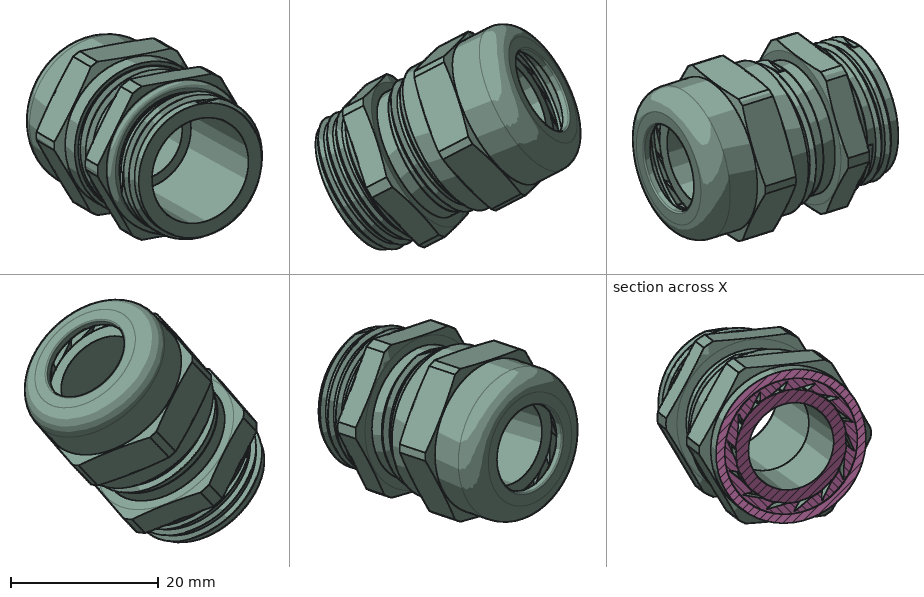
import cadquery as cq
import math


total_length = 31.01
lip_back = 1.06
claw_front = 3.79
dome_cone_end = 4.0
dome_hex_start = 7.3
dome_hex_end = 12.88
body_front = 9.0
seal_back = 15.0
dome_back = 15.55
neck_start = 18.93
body_hex_start = 20.78
body_hex_end = 24.5
gasket_back = 25.5
relief_end = 26.0

across_flats = 22.0
dome_hex_corner_diameter = 24.75
body_hex_corner_diameter = 24.54
hex_chamfer_length = 0.32

dome_diameter = 21.7
dome_face_diameter = 15.94
lip_mouth_diameter = 12.74
lip_bore_diameter = 12.31
cavity_front_diameter = 16.94
cavity_diameter = 19.04
dome_bore_diameter = 20.6

seal_bore_diameter = 12.2
seal_diameter = 15.94
claw_face_diameter = 18.5
claw_rim_height = 0.5
claw_finger_count = 14
claw_notch_depth = 3.0
claw_notch_angle = -87.0
claw_notch_root_radius = 7.95
claw_notch_shoulder_radius = 8.0
claw_notch_shoulder_turn = 14.0
claw_notch_tip_radius = 9.25
claw_notch_tip_turn = 19.7
gasket_diameter = 21.8
gasket_fillet = 0.8

body_bore_diameter = 14.94
gland_root_diameter = 18.75
neck_diameter = 18.95
entry_root_diameter = 19.04

pitch = 1.5
thread_crest_diameter = 20.25
thread_base_width = 1.0
thread_embed = 0.05
runout_height = 9.6
gland_thread_start = 14.66
gland_thread_start_angle = 270.0
gland_thread_turns = 2.5
entry_thread_start = 26.34
entry_thread_start_angle = 180.0
entry_thread_turns = 2.75


def revolve_profile(points):
    """Revolve a closed (x, radius) outline about the X axis."""
    return cq.Workplane("XY").polyline(points).close().revolve(360, (0, 0, 0), (1, 0, 0))


def cylinder(start, end, diameter):
    """Round bar along X between two stations."""
    return cq.Workplane("YZ", origin=(start, 0, 0)).circle(diameter / 2).extrude(end - start)


def chamfered_hexagon(start, end, corner_diameter, chamfer_back):
    """Hexagon with flats at top and bottom, rounded corners and a chamfered front, optionally also back."""
    length = end - start
    hexagon = (
        cq.Workplane("YZ", origin=(start, 0, 0))
        .polygon(6, across_flats / math.cos(math.pi / 6))
        .extrude(length)
    )
    corner_radius = corner_diameter / 2
    chamfer_radius = dome_diameter / 2
    envelope = [
        (start, 0),
        (start, chamfer_radius),
        (start + hex_chamfer_length, corner_radius),
    ]
    if chamfer_back:
        envelope += [(end - hex_chamfer_length, corner_radius), (end, chamfer_radius)]
    else:
        envelope.append((end, corner_radius))
    envelope.append((end, 0))
    return hexagon.intersect(revolve_profile(envelope))


def thread_ridge(start, start_angle, turns, root_diameter):
    """Helical V ridge; the angle is counted from +Y towards +Z."""
    inner_radius = root_diameter / 2 - thread_embed
    crest_radius = thread_crest_diameter / 2
    flank_slope = thread_base_width / 2 / (crest_radius - root_diameter / 2)
    half_width = flank_slope * (crest_radius - inner_radius)
    helix = cq.Wire.makeHelix(pitch, pitch * turns, inner_radius)
    ridge = (
        cq.Workplane("XZ")
        .polyline([(inner_radius, -half_width), (crest_radius, 0), (inner_radius, half_width)])
        .close()
        .sweep(cq.Workplane(obj=helix), isFrenet=True)
    )
    ridge = ridge.rotate((0, 0, 0), (1, 1, 1), 120)
    return ridge.rotate((0, 0, 0), (1, 0, 0), start_angle).translate((start, 0, 0))


def runout_cutter(x_center, angle, is_start):
    """Block that levels the first or last stretch of a thread, up to its end at the given angle."""
    reach = thread_crest_diameter / 2
    length = reach / 2
    height = reach - runout_height + thread_embed
    block = cq.Workplane("XY").box(pitch, length, height, centered=(True, False, False))
    y_start = -length if is_start else 0
    block = block.translate((x_center, y_start, runout_height))
    return block.rotate((0, 0, 0), (1, 0, 0), angle - 90)


def make_dome_nut():
    face_radius = dome_face_diameter / 2
    outer_radius = dome_diameter / 2
    corner_radius = outer_radius - face_radius
    mouth_radius = (lip_mouth_diameter - lip_bore_diameter) / 2
    diagonal = math.sqrt(0.5)
    shell = (
        cq.Workplane("XY")
        .moveTo(0, lip_mouth_diameter / 2)
        .lineTo(0, face_radius)
        .threePointArc(
            (corner_radius * (1 - diagonal), face_radius + corner_radius * diagonal),
            (corner_radius, outer_radius),
        )
        .lineTo(dome_back, outer_radius)
        .lineTo(dome_back, dome_bore_diameter / 2)
        .lineTo(body_front, dome_bore_diameter / 2)
        .lineTo(body_front, cavity_diameter / 2)
        .lineTo(dome_cone_end, cavity_diameter / 2)
        .lineTo(lip_back, cavity_front_diameter / 2)
        .lineTo(lip_back, lip_bore_diameter / 2)
        .lineTo(mouth_radius, lip_bore_diameter / 2)
        .threePointArc(
            (mouth_radius * (1 - diagonal), lip_mouth_diameter / 2 - mouth_radius * diagonal),
            (0, lip_mouth_diameter / 2),
        )
        .close()
        .revolve(360, (0, 0, 0), (1, 0, 0))
    )
    hexagon = chamfered_hexagon(dome_hex_start, dome_hex_end, dome_hex_corner_diameter, True)
    hexagon = hexagon.cut(cylinder(dome_hex_start, dome_hex_end, dome_bore_diameter))
    return shell.union(hexagon)


def polar_point(radius, angle):
    """Point in the YZ plane, the angle in degrees from +Y towards +Z."""
    return radius * math.cos(math.radians(angle)), radius * math.sin(math.radians(angle))


def make_claw():
    """Ring around the seal whose front is split into fingers by slanted notches."""
    rim_x = claw_front - claw_rim_height
    cone_slope = (cavity_diameter - cavity_front_diameter) / 2 / (dome_cone_end - lip_back)
    rim_radius = cavity_front_diameter / 2 + cone_slope * (rim_x - lip_back)
    claw = revolve_profile([
        (claw_front, seal_diameter / 2),
        (claw_front, claw_face_diameter / 2),
        (rim_x, rim_radius),
        (dome_cone_end, cavity_diameter / 2),
        (body_front, cavity_diameter / 2),
        (body_front, seal_diameter / 2),
    ])
    for finger in range(claw_finger_count):
        angle = claw_notch_angle + finger * 360 / claw_finger_count
        notch = (
            cq.Workplane("YZ", origin=(rim_x, 0, 0))
            .polyline([
                polar_point(claw_notch_root_radius, angle),
                polar_point(claw_notch_shoulder_radius, angle + claw_notch_shoulder_turn),
                polar_point(claw_notch_tip_radius, angle + claw_notch_tip_turn),
            ])
            .close()
            .extrude(claw_rim_height + claw_notch_depth)
        )
        claw = claw.cut(notch)
    return claw


def make_seal():
    bar = cylinder(claw_front, seal_back, seal_diameter)
    return bar.cut(cylinder(claw_front, seal_back, seal_bore_diameter))


def make_body():
    body = cylinder(body_front, neck_start, gland_root_diameter)
    body = body.union(cylinder(neck_start, relief_end, neck_diameter))
    body = body.union(cylinder(relief_end, total_length, entry_root_diameter))
    hexagon = chamfered_hexagon(body_hex_start, body_hex_end, body_hex_corner_diameter, False)
    body = body.union(hexagon)

    gland_thread = thread_ridge(
        gland_thread_start, gland_thread_start_angle, gland_thread_turns, gland_root_diameter
    )
    gland_thread_end = gland_thread_start + pitch * gland_thread_turns
    gland_thread_end_angle = gland_thread_start_angle + 360 * gland_thread_turns
    gland_thread = gland_thread.cut(runout_cutter(gland_thread_end, gland_thread_end_angle, False))

    entry_thread = thread_ridge(
        entry_thread_start, entry_thread_start_angle, entry_thread_turns, entry_root_diameter
    )
    entry_thread_end = entry_thread_start + pitch * entry_thread_turns
    entry_thread_end_angle = entry_thread_start_angle + 360 * entry_thread_turns
    entry_thread = entry_thread.cut(runout_cutter(entry_thread_start, entry_thread_start_angle, True))
    entry_thread = entry_thread.cut(runout_cutter(entry_thread_end, entry_thread_end_angle, False))

    body = body.union(gland_thread).union(entry_thread)
    body = body.cut(cylinder(body_front, seal_back, seal_diameter))
    return body.cut(cylinder(seal_back, total_length, body_bore_diameter))


def make_gasket():
    ring = cylinder(body_hex_end, gasket_back, gasket_diameter)
    ring = ring.faces(">X").edges().fillet(gasket_fillet)
    return ring.cut(cylinder(body_hex_end, gasket_back, neck_diameter))


dome_nut = make_dome_nut()
claw = make_claw()
seal = make_seal()
body = make_body()
gasket = make_gasket()

result = cq.Compound.makeCompound([
    dome_nut.val(),
    claw.val(),
    seal.val(),
    body.val(),
    gasket.val(),
])